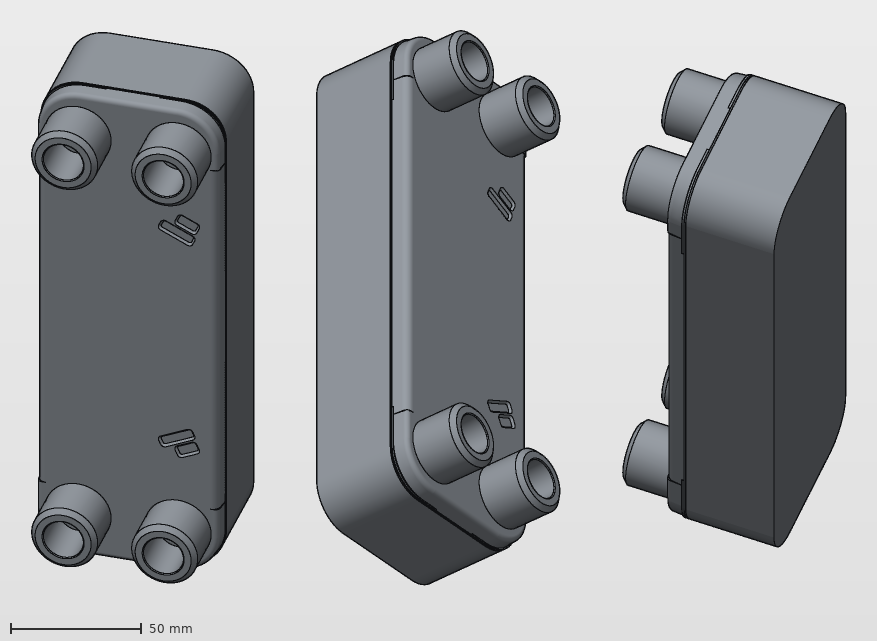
import cadquery as cq
import math


width = 73.72
height = 210.0
port_length = 20.0
total_depth = 64.7

pack_depth = 36.5
plate_thickness = 0.7
cover_back = pack_depth + plate_thickness
cover_front = total_depth - port_length
cover_depth = cover_front - cover_back

pack_corner_radius = 16.2
plate_inset = 0.3
cover_corner_radius = 17.5

cover_draft = 5.0
end_fillet = 2.0
side_fillet = 3.2
side_draft = 8.0
side_top_z = 80.0
side_bottom_z = -74.5
lip_thickness = 0.9
lip_inner_x = 10.8
lip_inner_z = 71.0

port_x = 20.0
port_z = 86.0
port_radius = 13.2
port_chamfer = 2.0
bore_radius = 8.0
bore_chamfer = 0.4

long_slot_width = 5.0
short_slot_width = 5.4
slot_corner_radius = 1.6
slot_depth = 1.0
slot_wall_angle = 40.0
slot_tilt = 25.0
long_slot_length = 15.0
short_slot_length = 9.6
long_slot_x = 19.4
short_slot_x = 23.6
short_slot_offset_z = 4.6
upper_mark_z = 48.9
lower_mark_z = -44.6


def facing_front(depth):
    """XZ workplane at the given depth; extrusions run toward the front (-Y)."""
    return cq.Workplane("XZ", origin=(0, -depth, 0))


def rounded_slab(depth, thickness, inset, corner_radius):
    """Straight-sided slab with rounded corners, inset from the overall outline."""
    slab = facing_front(depth).rect(width - 2 * inset, height - 2 * inset).extrude(thickness)
    return slab.edges("|Y").fillet(corner_radius)


def drafted_cover():
    """Cover body with drafted walls and a small fillet around its front face."""
    outline = cq.Sketch().rect(width, height).vertices().fillet(cover_corner_radius)
    body = facing_front(cover_back).placeSketch(outline).extrude(cover_depth, taper=cover_draft)
    return body.faces("<Y").edges().fillet(end_fillet)


def cover_middle():
    """Middle length of the cover, whose long sides have more draft and a larger front fillet."""
    half_back = width / 2
    half_front = half_back - cover_depth * math.tan(math.radians(side_draft))
    profile = [
        (-half_back, -cover_back),
        (half_back, -cover_back),
        (half_front, -cover_front),
        (-half_front, -cover_front),
    ]
    middle = (
        cq.Workplane("XY", origin=(0, 0, side_bottom_z))
        .polyline(profile)
        .close()
        .extrude(side_top_z - side_bottom_z)
    )
    return middle.faces("<Y").edges("|Z").fillet(side_fillet)


def corner_lips():
    """Thin straight rim at the back of the cover, present only around the four corners."""
    rim = rounded_slab(cover_back, lip_thickness, 0, pack_corner_radius)
    across = facing_front(cover_back).rect(2 * lip_inner_x, height).extrude(lip_thickness)
    along = facing_front(cover_back).rect(width, 2 * lip_inner_z).extrude(lip_thickness)
    return rim.cut(across).cut(along)


def mark_slot(x, z, length, slot_width, tilt):
    """Rounded slot recessed into the cover front, narrowing toward its floor."""
    outline = cq.Sketch().rect(length, slot_width).vertices().fillet(slot_corner_radius)
    return (
        cq.Workplane("XZ", origin=(x, -cover_front, z))
        .transformed(rotate=(0, 0, tilt))
        .placeSketch(outline)
        .extrude(-slot_depth, taper=slot_wall_angle)
    )


def make_cover():
    full = drafted_cover()
    middle_space = (
        facing_front(cover_back)
        .center(0, (side_top_z + side_bottom_z) / 2)
        .rect(width, side_top_z - side_bottom_z)
        .extrude(cover_depth)
    )
    cover = full.cut(middle_space).union(cover_middle()).union(corner_lips())
    for mark_z, side in ((upper_mark_z, 1), (lower_mark_z, -1)):
        tilt = -side * slot_tilt
        short_z = mark_z + side * short_slot_offset_z
        long_slot = mark_slot(long_slot_x, mark_z, long_slot_length, long_slot_width, tilt)
        short_slot = mark_slot(short_slot_x, short_z, short_slot_length, short_slot_width, tilt)
        cover = cover.cut(long_slot).cut(short_slot)
    return cover


def make_port(x, z):
    """Tube standing on the cover, chamfered outside and inside at its mouth."""
    tube = cq.Workplane("XZ", origin=(x, -cover_front, z)).circle(port_radius).extrude(port_length)
    tube = tube.faces("<Y").chamfer(port_chamfer)
    tube = tube.faces("<Y").workplane().hole(2 * bore_radius)
    bore_edge = cq.selectors.RadiusNthSelector(0)
    return tube.faces("<Y").edges(bore_edge).chamfer(bore_chamfer)


plate_pack = rounded_slab(0, pack_depth, 0, pack_corner_radius)
sealing_plate = rounded_slab(pack_depth, plate_thickness, plate_inset, pack_corner_radius - plate_inset)
cover = make_cover()
ports = [make_port(x, z) for x in (-port_x, port_x) for z in (-port_z, port_z)]

result = cq.Compound.makeCompound(
    [body.solids().val() for body in (plate_pack, sealing_plate, cover, *ports)]
)